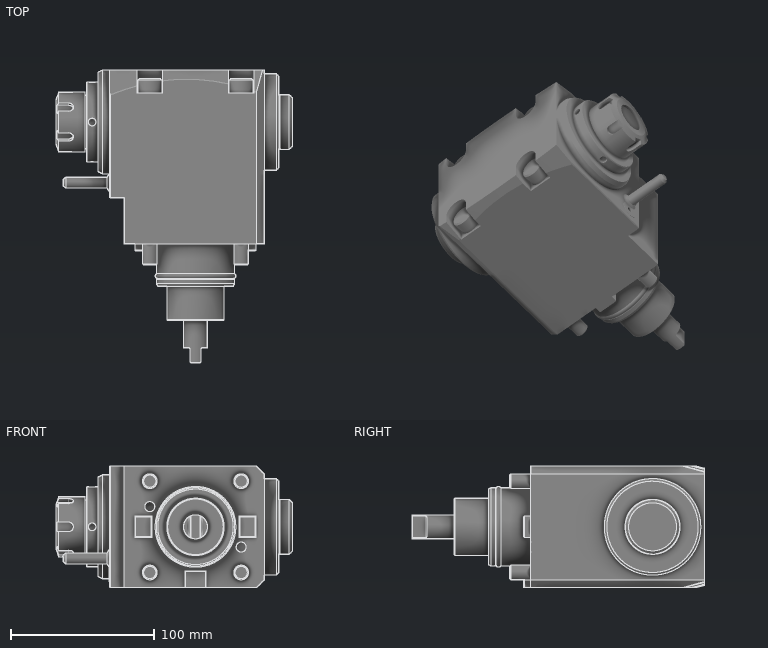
import cadquery as cq
import math

BLOCK_BACK = 121.5
BLOCK_HEIGHT = 85.0
BLOCK_LEFT = -50.0
BLOCK_RIGHT = 48.0
BLOCK_CHAMFER = 5.5
PLATE_LEFT = -60.1
PLATE_FRONT = 32.1
PLATE_CHAMFER = 0.6

SPINDLE_Y = 85.0

SCREW_PITCH = 63.8
SCREW_RADIUS = 5.1
SCREW_LENGTH = 14.7
SCREW_CHAMFER = 0.8
HEAD_RADIUS = 8.4
HEAD_LENGTH = 10.0
HEAD_CHAMFER = 1.0
POCKET_RADIUS = 9.0
POCKET_DEPTH = 16.2

KEY_WIDTH = 15.0
KEY_LENGTH = 11.9
KEY_HEIGHT = 5.0
KEY_CHAMFER = 0.6
SIDE_KEY_START = 30.5

RELIEF_RADIUS = 521.5
RELIEF_ANGLE = 14.0
RELIEF_LENGTH = 6.5

PORT_RADIUS = 3.5
PORT_X = SCREW_PITCH / 2
PORT_Z = 14.1
PORT_DEPTH = 8.2
BLIND_PORT_DEPTH = 2.0
DRILL_POINT_ANGLE = 118.0

NUT_FRONT = -97.5
NUT_BACK = -77.0
NUT_RADIUS = 21.0
NUT_FACE_RADIUS = 15.1
NUT_CONE_LENGTH = 2.0
NUT_RECESS_RADIUS = 10.5
NUT_RECESS_DEPTH = 1.6
NUT_SLOTS = 6
NUT_SLOT_WIDTH = 6.5
NUT_SLOT_DEPTH = 3.3
NUT_SLOT_LENGTH = 12.3

NECK_RADIUS = 18.8
RING_FRONT = -76.3
RING_RADIUS = 28.0
RING_CHAMFER = 0.6
RING_HOLES = 4
RING_HOLE_RADIUS = 2.7
RING_HOLE_DEPTH = 3.0
FLANGE_FRONT = -68.0
FLANGE_RADIUS = 36.5
FLANGE_CHAMFER_LENGTH = 3.3
FLANGE_CHAMFER_DEPTH = 1.6

COVER_END = 58.3
COVER_RADIUS = 33.7
COVER_CHAMFER = 1.8
STUB_END = 67.9
STUB_RADIUS = 19.2
STUB_CHAMFER = 2.5
STUB_NECK_RADIUS = 18.8
STUB_NECK_LENGTH = 0.8

COLLAR_END = 29.7
COLLAR_RADIUS = 27.5
COLLAR_CHAMFER_LENGTH = 1.8
COLLAR_CHAMFER_DEPTH = 1.0
BEAD_START = 20.9
BEAD_END = 24.1
BEAD_RADIUS = 28.2
GROOVE_END = 24.7
GROOVE_RADIUS = 26.8
SLEEVE_END = 53.5
SLEEVE_RADIUS = 20.0
SLEEVE_CHAMFER = 0.6
SHAFT_END = 83.0
SHAFT_RADIUS = 8.4
TANG_LENGTH = 10.5
TANG_WIDTH = 7.8
TANG_ROOT_FILLET = 1.0
TANG_CHAMFER = 0.6

NOZZLE_Y = 42.7
NOZZLE_Z = -22.0
NOZZLE_TIP = -92.5
NOZZLE_RADIUS = 3.9
NOZZLE_TIP_RADIUS = 2.2
NOZZLE_TIP_LENGTH = 1.8
NOZZLE_BASE_RADIUS = 6.3
NOZZLE_BASE_LENGTH = 1.6
PLUG_Z = -31.7
PLUG_RADIUS = 6.3
PLUG_HEIGHT = 0.2
PLUG_SOCKET_RADIUS = 1.8
PLUG_SOCKET_DEPTH = 2.0

HALF_HEIGHT = BLOCK_HEIGHT / 2
MIDDLE_X = (PLATE_LEFT + BLOCK_RIGHT) / 2
SCREW_OFFSETS = (-SCREW_PITCH / 2, SCREW_PITCH / 2)
SCREW_PLACES = [(x, z) for x in SCREW_OFFSETS for z in SCREW_OFFSETS]


def turned_x(profile, y=SPINDLE_Y, z=0.0):
    """Solid of revolution about the X direction from (x, radius) points."""
    points = [(profile[0][0], 0.0), *profile, (profile[-1][0], 0.0)]
    solid = cq.Workplane("XY").polyline(points).close().revolve(360, (0, 0, 0), (1, 0, 0))
    return solid.translate((0, y, z))


def cylinder_y(radius, y_start, y_end, x=0.0, z=0.0):
    """Cylinder along Y between two y values."""
    solid = cq.Solid.makeCylinder(radius, y_end - y_start, cq.Vector(x, y_start, z), cq.Vector(0, 1, 0))
    return cq.Workplane(obj=solid)


def box(x_range, y_range, z_range):
    """Box from its low and high limits along each axis."""
    limits = (x_range, y_range, z_range)
    sizes = [high - low for low, high in limits]
    corner = tuple(low for low, high in limits)
    return cq.Workplane("XY").box(*sizes, centered=False).translate(corner)


def drill(radius, depth, entry, direction):
    """Drilled hole with a conical bottom; depth is that of the straight part."""
    point_length = radius / math.tan(math.radians(DRILL_POINT_ANGLE / 2))
    start = cq.Vector(*entry)
    along = cq.Vector(*direction)
    shaft = cq.Solid.makeCylinder(radius, depth, start, along)
    point = cq.Solid.makeCone(radius, 0, point_length, start + along * depth, along)
    return cq.Workplane(obj=shaft).union(cq.Workplane(obj=point))


def relief_cone(side):
    """Wide cone whose surface clears the rear end of the top (+1) or bottom (-1) face."""
    slope = math.tan(math.radians(RELIEF_ANGLE))
    front_radius = RELIEF_RADIUS + (BLOCK_BACK - RELIEF_LENGTH) * slope
    back_radius = RELIEF_RADIUS - RELIEF_LENGTH * slope
    axis_z = side * (HALF_HEIGHT - RELIEF_RADIUS)
    cone = cq.Solid.makeCone(
        front_radius, back_radius, BLOCK_BACK, cq.Vector(MIDDLE_X, 0, axis_z), cq.Vector(0, 1, 0)
    )
    return cq.Workplane(obj=cone)


def make_block():
    """Stepped block with chamfered edges and the two rear reliefs."""
    z_range = (-HALF_HEIGHT, HALF_HEIGHT)
    main = box((BLOCK_LEFT, BLOCK_RIGHT), (0, BLOCK_BACK), z_range)
    main = main.edges(">X and |Y").chamfer(BLOCK_CHAMFER)
    plate = box((PLATE_LEFT, MIDDLE_X), (PLATE_FRONT, BLOCK_BACK), z_range)
    plate = plate.faces("<X").edges("not(>Y)").chamfer(PLATE_CHAMFER)
    block = main.union(plate)
    for side in (1, -1):
        block = block.intersect(relief_cone(side))
    return block


def screw_pocket(x, z):
    """Round-bottomed slot for a screw head, open to the rear and to the nearer long face."""
    pocket_floor = BLOCK_BACK - POCKET_DEPTH
    outside = math.copysign(HALF_HEIGHT, z)
    z_range = (min(z, outside), max(z, outside))
    opening = box((x - POCKET_RADIUS, x + POCKET_RADIUS), (pocket_floor, BLOCK_BACK), z_range)
    return cylinder_y(POCKET_RADIUS, pocket_floor, BLOCK_BACK, x, z).union(opening)


def screw_head(x, z):
    """Screw head standing on the pocket floor."""
    pocket_floor = BLOCK_BACK - POCKET_DEPTH
    head = cylinder_y(HEAD_RADIUS, pocket_floor, pocket_floor + HEAD_LENGTH, x, z)
    return head.faces(">Y").chamfer(HEAD_CHAMFER)


def screw_end(x, z):
    """Screw shank standing out of the mounting face."""
    return cylinder_y(SCREW_RADIUS, -SCREW_LENGTH, 0, x, z).faces("<Y").chamfer(SCREW_CHAMFER)


def make_keys():
    """Two side keys and a bottom key on the mounting face."""
    y_range = (-KEY_HEIGHT, 0)
    across = (-KEY_WIDTH / 2, KEY_WIDTH / 2)
    side_end = SIDE_KEY_START + KEY_LENGTH
    left = box((-side_end, -SIDE_KEY_START), y_range, across)
    right = box((SIDE_KEY_START, side_end), y_range, across)
    bottom = box(across, y_range, (-HALF_HEIGHT, KEY_LENGTH - HALF_HEIGHT))
    side_keys = [key.faces("<Y").chamfer(KEY_CHAMFER) for key in (left, right)]
    bottom = bottom.faces("<Y").edges("not(<Z)").chamfer(KEY_CHAMFER)
    return [*side_keys, bottom]


def tang_flat(side):
    """Material removed from one side of the shaft end, with a rounded inner corner at the root."""
    length_y = (-SHAFT_END, TANG_LENGTH - SHAFT_END)
    flat = box((TANG_WIDTH / 2, 2 * SHAFT_RADIUS), length_y, (-SHAFT_RADIUS, SHAFT_RADIUS))
    flat = flat.edges("<X and >Y").fillet(TANG_ROOT_FILLET)
    return flat if side > 0 else flat.mirror("YZ")


def make_shank():
    """Stepped drive shank with a sealing bead and a flat tang at its end."""
    profile = (
        cq.Workplane("XY")
        .moveTo(0, 0)
        .lineTo(COLLAR_RADIUS, 0)
        .lineTo(COLLAR_RADIUS, -BEAD_START)
        .threePointArc((BEAD_RADIUS, -(BEAD_START + BEAD_END) / 2), (COLLAR_RADIUS, -BEAD_END))
        .lineTo(GROOVE_RADIUS, -BEAD_END)
        .lineTo(GROOVE_RADIUS, -GROOVE_END)
        .lineTo(COLLAR_RADIUS, -GROOVE_END)
        .lineTo(COLLAR_RADIUS, COLLAR_CHAMFER_LENGTH - COLLAR_END)
        .lineTo(COLLAR_RADIUS - COLLAR_CHAMFER_DEPTH, -COLLAR_END)
        .lineTo(SLEEVE_RADIUS, -COLLAR_END)
        .lineTo(SLEEVE_RADIUS, SLEEVE_CHAMFER - SLEEVE_END)
        .lineTo(SLEEVE_RADIUS - SLEEVE_CHAMFER, -SLEEVE_END)
        .lineTo(SHAFT_RADIUS, -SLEEVE_END)
        .lineTo(SHAFT_RADIUS, -SHAFT_END)
        .lineTo(0, -SHAFT_END)
        .close()
    )
    shank = profile.revolve(360, (0, 0, 0), (0, 1, 0))
    shank = shank.cut(tang_flat(-1)).cut(tang_flat(1))
    return shank.faces("<Y").edges("|Z").chamfer(TANG_CHAMFER)


def make_spindle_flange():
    """Flange, ring with radial spanner holes, and the neck that carries the nut."""
    flange = turned_x([
        (NUT_BACK, NECK_RADIUS),
        (RING_FRONT, NECK_RADIUS),
        (RING_FRONT, RING_RADIUS - RING_CHAMFER),
        (RING_FRONT + RING_CHAMFER, RING_RADIUS),
        (FLANGE_FRONT, RING_RADIUS),
        (FLANGE_FRONT, FLANGE_RADIUS - FLANGE_CHAMFER_DEPTH),
        (FLANGE_FRONT + FLANGE_CHAMFER_LENGTH, FLANGE_RADIUS),
        (PLATE_LEFT, FLANGE_RADIUS),
    ])
    hole_x = (RING_FRONT + FLANGE_FRONT) / 2
    for index in range(RING_HOLES):
        angle = 2 * math.pi * index / RING_HOLES
        outward = (0, math.cos(angle), math.sin(angle))
        entry = (hole_x, SPINDLE_Y + RING_RADIUS * outward[1], RING_RADIUS * outward[2])
        inward = (0, -outward[1], -outward[2])
        flange = flange.cut(drill(RING_HOLE_RADIUS, RING_HOLE_DEPTH, entry, inward))
    return flange


def make_rear_cover():
    """Round cover and stub at the far end of the spindle axis."""
    return turned_x([
        (BLOCK_RIGHT, COVER_RADIUS),
        (COVER_END - COVER_CHAMFER, COVER_RADIUS),
        (COVER_END, COVER_RADIUS - COVER_CHAMFER),
        (COVER_END, STUB_NECK_RADIUS),
        (COVER_END + STUB_NECK_LENGTH, STUB_NECK_RADIUS),
        (COVER_END + STUB_NECK_LENGTH, STUB_RADIUS),
        (STUB_END - STUB_CHAMFER, STUB_RADIUS),
        (STUB_END, STUB_RADIUS - STUB_CHAMFER),
    ])


def make_nozzle():
    """Coolant nozzle with a pointed tip and a conical base."""
    return turned_x([
        (NOZZLE_TIP, NOZZLE_TIP_RADIUS),
        (NOZZLE_TIP + NOZZLE_TIP_LENGTH, NOZZLE_RADIUS),
        (PLATE_LEFT - NOZZLE_BASE_LENGTH, NOZZLE_RADIUS),
        (PLATE_LEFT, NOZZLE_BASE_RADIUS),
    ], NOZZLE_Y, NOZZLE_Z)


def make_plug():
    """Low round plug beside the nozzle."""
    return turned_x([(PLATE_LEFT - PLUG_HEIGHT, PLUG_RADIUS), (PLATE_LEFT, PLUG_RADIUS)], NOZZLE_Y, PLUG_Z)


def make_plug_socket():
    """Blind hole in the middle of the plug."""
    start = PLATE_LEFT - PLUG_HEIGHT
    profile = [(start, PLUG_SOCKET_RADIUS), (start + PLUG_SOCKET_DEPTH, PLUG_SOCKET_RADIUS)]
    return turned_x(profile, NOZZLE_Y, PLUG_Z)


def make_housing():
    """Block with everything fixed to it, including the spindle flange and shank."""
    housing = make_block()
    for x, z in SCREW_PLACES:
        housing = housing.cut(screw_pocket(x, z)).union(screw_head(x, z)).union(screw_end(x, z))
    for key in make_keys():
        housing = housing.union(key)
    housing = housing.union(make_shank()).union(make_spindle_flange()).union(make_rear_cover())
    housing = housing.union(make_nozzle()).union(make_plug()).cut(make_plug_socket())
    housing = housing.cut(drill(PORT_RADIUS, PORT_DEPTH, (-PORT_X, 0, PORT_Z), (0, 1, 0)))
    return housing.cut(cylinder_y(PORT_RADIUS, 0, BLIND_PORT_DEPTH, PORT_X, -PORT_Z))


def nut_slot(angle):
    """Spanner slot with a round inner end, at an angle about the spindle axis."""
    straight_end = NUT_FRONT + NUT_SLOT_LENGTH - NUT_SLOT_WIDTH / 2
    floor_radius = NUT_RADIUS - NUT_SLOT_DEPTH
    straight = box(
        (NUT_FRONT, straight_end), (-NUT_SLOT_WIDTH / 2, NUT_SLOT_WIDTH / 2), (floor_radius, NUT_RADIUS)
    )
    end = cq.Solid.makeCylinder(NUT_SLOT_WIDTH / 2, NUT_SLOT_DEPTH, cq.Vector(straight_end, 0, floor_radius))
    slot = straight.union(cq.Workplane(obj=end))
    return slot.rotate((0, 0, 0), (1, 0, 0), angle).translate((0, SPINDLE_Y, 0))


def make_nut():
    """Collet nut with a conical front edge, a shallow round recess and spanner slots."""
    nut = turned_x([
        (NUT_FRONT, NUT_FACE_RADIUS),
        (NUT_FRONT + NUT_CONE_LENGTH, NUT_RADIUS),
        (NUT_BACK, NUT_RADIUS),
    ])
    recess_end = NUT_FRONT + NUT_RECESS_DEPTH
    nut = nut.cut(turned_x([(NUT_FRONT, NUT_RECESS_RADIUS), (recess_end, NUT_RECESS_RADIUS)]))
    for index in range(NUT_SLOTS):
        nut = nut.cut(nut_slot(90 + 360 * index / NUT_SLOTS))
    return nut


housing = make_housing()
nut = make_nut()
result = cq.Compound.makeCompound([housing.val(), nut.val()])